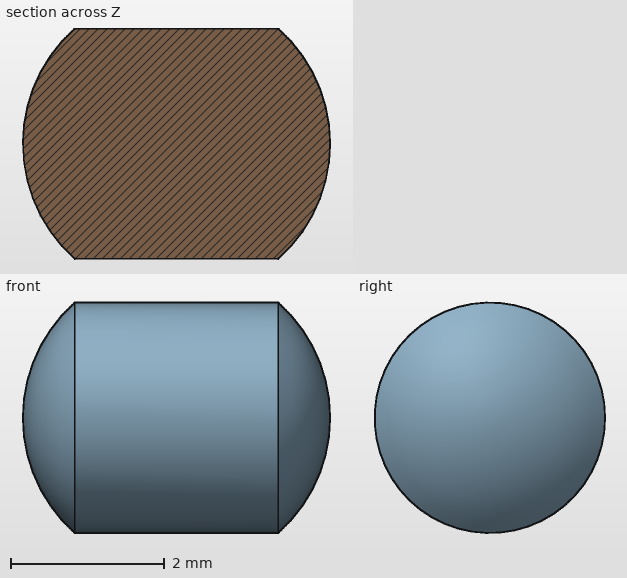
import cadquery as cq
import math

length = 4.0
pin_diameter = 3.0

pin_radius = pin_diameter / 2
dome_radius = length / 2
shoulder_x = math.sqrt(dome_radius**2 - pin_radius**2)

profile = (
    cq.Workplane("XY")
    .moveTo(-dome_radius, 0)
    .radiusArc((-shoulder_x, pin_radius), dome_radius)
    .lineTo(shoulder_x, pin_radius)
    .radiusArc((dome_radius, 0), dome_radius)
    .close()
)

result = profile.revolve(360, (0, 0, 0), (1, 0, 0))